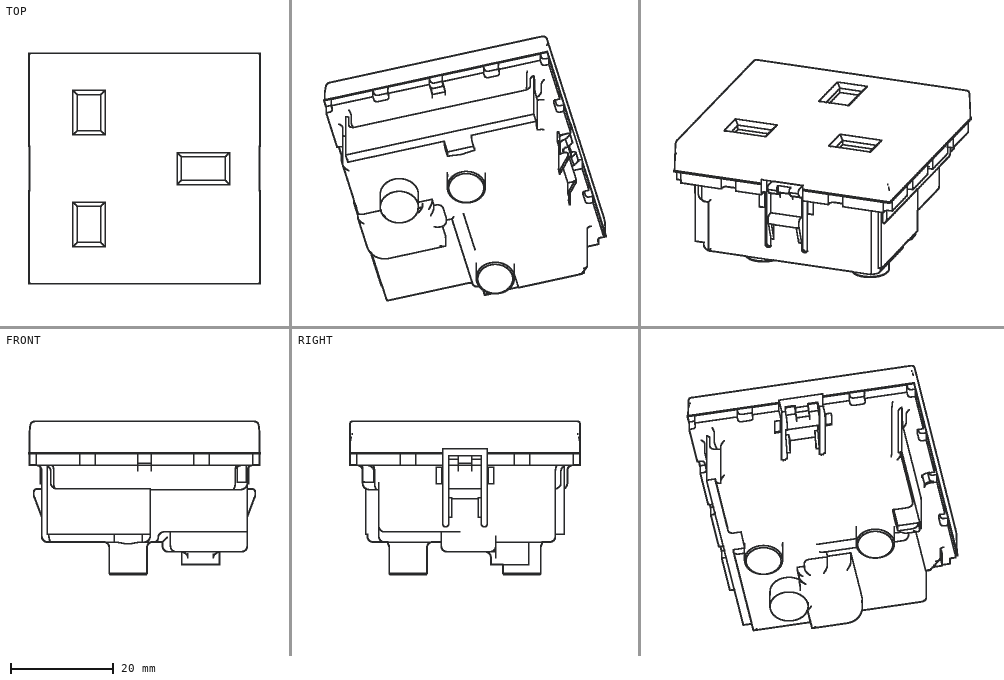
import cadquery as cq


height = 30.0
cover_depth = 6.4
rim_depth = 8.6
neck_depth = 13.35
panel_depth = 22.07
body_depth = 23.6
raised_floor_depth = 21.6
boss_depth = 25.5
terminal_depth = 28.0

outer_x = 45.07
outer_y = 45.05
bead_reach = 0.06
bead_height = 0.25
cover_x = outer_x - 2 * bead_reach
cover_y = outer_y - 2 * bead_reach
side_straight_depth = 2.3
side_taper = 0.25
side_round = 1.0
end_round = 0.6
corner_round_top = 0.6
corner_round_bottom = 0.15

opening_width = 6.25
live_length = 8.7
earth_length = 10.24
live_x = -10.83
live_y = 10.9
earth_x = 11.48
opening_bevel = 0.85
opening_depth = 1.75

notch_depth = 1.37
notch_width = 3.0
notch_inner_round = 0.64
notch_pitch = 11.15
centre_notch_width = 2.6
notch_slope = 0.4

neck_half_x = 20.06
neck_half_y = 20.0
corner_chamfer = 2.35
neck_fillet = 1.05
neck_round = 1.3
bottom_round = 1.15
body_front = 19.07
recess_front = 16.8
body_back = neck_half_y - corner_chamfer
panel_half_x = 18.98
front_panel_end = 1.1
panel_half_y = 19.4
corner_step_y = 16.6
corner_step_round = neck_half_x - panel_half_x
tab_inner = 18.05
tab_outer = 19.9
tab_depth = 11.9

raised_floor_start = 2.65
rise_bend = 1.2
raised_round = 1.1
boss_outer_start = 5.07
boss_inner_start = 3.5
boss_front = -4.65
boss_step_y = 0.0
boss_back = 6.0
boss_inner_back = 4.5
boss_corner = 3.6
pin_x = -3.19
pin_y = 11.1
pin_radius = 3.72
pin_flare = 1.0
pin_tip_round = 0.3
pin_flat_y = 15.05
pin_flat_half = 2.75
terminal_x = 10.95
terminal_y = 8.75
terminal_radius = 3.72
terminal_flare = 1.1

clip_half = 4.35
tongue_half = 3.2
slot_top_depth = 5.4
tongue_top_depth = 6.75
slot_end_depth = 20.6
slot_end_chamfer = 0.35
slot_cut = 0.7
lip_reach = 2.0
lip_round = 0.7
lip_end_depth = rim_depth + neck_fillet
nose_reach = 1.55
nose_top_depth = 13.2
nose_end_depth = 15.15
nose_round = 0.6
cheek_end_depth = 18.7
cheek_width = 0.62
rib_y = 5.07
rib_width = 1.15
rib_reach = 0.25
rib_round = 0.2
rib_top_depth = 8.9
rib_end_depth = 12.2


def level(depth):
    """Z height of a plane at the given depth below the top face."""
    return height - depth


def block(x0, x1, y0, y1, top_depth, end_depth):
    """Axis-aligned box between two depths below the top face."""
    size = (x1 - x0, y1 - y0, end_depth - top_depth)
    return cq.Workplane("XY").box(*size, centered=False).translate((x0, y0, level(end_depth)))


def both_ends(shape):
    """The shape together with its mirror image across the YZ plane."""
    return shape.union(shape.mirror("YZ"))


def rounded_corners():
    """Cover outline whose corner radius grows towards the top."""
    lower = cq.Sketch().rect(cover_x, cover_y).vertices().fillet(corner_round_bottom)
    upper = cq.Sketch().rect(cover_x, cover_y).vertices().fillet(corner_round_top)
    upper = upper.moved(cq.Location(cq.Vector(0, 0, cover_depth)))
    return cq.Workplane("XY", origin=(0, 0, level(cover_depth))).placeSketch(lower, upper).loft(ruled=True)


def make_cover():
    """Cover plate with tapered, rounded X sides and smaller rounds along the Y sides."""
    half = cover_x / 2
    shoulder = half - side_taper
    profile = (
        cq.Workplane("XZ", origin=(0, cover_y / 2, 0))
        .moveTo(-half, level(cover_depth))
        .lineTo(-half, level(side_straight_depth))
        .lineTo(-shoulder, height)
        .lineTo(shoulder, height)
        .lineTo(half, level(side_straight_depth))
        .lineTo(half, level(cover_depth))
        .close()
        .extrude(cover_y)
    )
    profile = profile.faces(">Z").edges("|Y").fillet(side_round)
    profile = profile.faces(">Z").edges("|X").fillet(end_round)
    return profile.intersect(rounded_corners())


def make_opening(x, y, size_x, size_y):
    """Bevelled mouth followed by a straight pocket."""
    pocket_x = size_x - 2 * opening_bevel
    pocket_y = size_y - 2 * opening_bevel
    mouth = (
        cq.Workplane("XY", origin=(x, y, height))
        .rect(size_x, size_y)
        .workplane(offset=-opening_bevel)
        .rect(pocket_x, pocket_y)
        .loft(ruled=True)
    )
    pocket = (
        cq.Workplane("XY", origin=(x, y, height))
        .rect(pocket_x, pocket_y)
        .extrude(-opening_depth)
    )
    return mouth.union(pocket)


def make_notch(x, y, size_x, size_y):
    """Vertical notch through the rim with rounded inner corners."""
    return (
        cq.Workplane("XY", origin=(x, y, level(rim_depth)))
        .rect(size_x, size_y)
        .extrude(rim_depth - cover_depth)
        .edges("|Z")
        .fillet(notch_inner_round)
    )


def cut_rim_notches(part):
    """Notches at the four corners, two per side, and one at the middle of each Y side."""
    half_x = cover_x / 2
    half_y = cover_y / 2
    reach = 2 * notch_depth
    for side in (-1, 1):
        for end in (-1, 1):
            part = part.cut(make_notch(side * half_x, end * half_y, reach, reach))
        for offset in (-notch_pitch, notch_pitch):
            part = part.cut(make_notch(offset, side * half_y, notch_width, reach))
            part = part.cut(make_notch(side * half_x, offset, reach, notch_width))
        part = part.cut(make_notch(0, side * half_y, centre_notch_width, reach))
    return part


def cut_centre_relief(part):
    """Slot at the middle of each Y side, leading from the rim notch down to the neck wall."""
    floor_y = cover_y / 2 - notch_depth
    relief = (
        cq.Workplane("YZ", origin=(-centre_notch_width / 2, 0, 0))
        .moveTo(cover_y / 2, level(rim_depth) + notch_slope)
        .lineTo(floor_y, level(rim_depth) + notch_slope)
        .lineTo(neck_half_y, level(rim_depth))
        .lineTo(neck_half_y, level(rim_depth + neck_fillet))
        .lineTo(cover_y / 2, level(rim_depth + neck_fillet))
        .close()
        .extrude(centre_notch_width)
    )
    return part.cut(relief).cut(relief.mirror("XZ"))


def chamfered_prism(top_depth, end_depth):
    """Neck outline with chamfered vertical corners."""
    outline = block(-neck_half_x, neck_half_x, -neck_half_y, neck_half_y, top_depth, end_depth)
    return outline.edges("|Z").chamfer(corner_chamfer)


def make_neck():
    """Rim plate and neck joined by a concave fillet, with a thin bead where the cover seats."""
    half_x = cover_x / 2
    half_y = cover_y / 2
    bead_x = outer_x / 2
    bead_y = outer_y / 2
    plate = block(-half_x, half_x, -half_y, half_y, cover_depth, rim_depth)
    bead = block(-bead_x, bead_x, -bead_y, bead_y, cover_depth - bead_height, cover_depth)
    neck = chamfered_prism(rim_depth, neck_depth).faces("<Z").edges().fillet(neck_round)
    joined = plate.union(neck)
    near = neck_fillet / 2
    root = cq.selectors.BoxSelector(
        (-half_x + near, -half_y + near, level(rim_depth) - near),
        (half_x - near, half_y - near, level(rim_depth) + near),
    )
    joined = joined.edges(root).edges("#Z").fillet(neck_fillet)
    tab = block(tab_inner, tab_outer, -neck_half_y, -body_back, rim_depth, tab_depth)
    return joined.union(tab).union(bead)


def make_raised_floor():
    """Set-back front right quarter, whose floor rises from the deep floor in an S-bend."""
    drop = body_depth - raised_floor_depth
    lower_bend = drop - rise_bend
    floor = (
        cq.Workplane("XZ", origin=(0, boss_back, 0))
        .moveTo(0, level(rim_depth))
        .lineTo(0, level(body_depth))
        .lineTo(raised_floor_start - lower_bend, level(body_depth))
        .radiusArc((raised_floor_start, level(body_depth - lower_bend)), -lower_bend)
        .radiusArc((raised_floor_start + rise_bend, level(raised_floor_depth)), rise_bend)
        .lineTo(neck_half_x, level(raised_floor_depth))
        .lineTo(neck_half_x, level(rim_depth))
        .close()
        .extrude(boss_back + recess_front)
    )
    lower_edges = floor.faces("<Y").edges("not (>Z or |Z)")
    return lower_edges.fillet(raised_round)


def make_body():
    """Main box: a raised floor at the front right, a deep floor elsewhere, panels on the Y sides."""
    envelope = chamfered_prism(rim_depth, body_depth)
    envelope = envelope.intersect(
        block(-neck_half_x, neck_half_x, -body_front, body_back, rim_depth, body_depth)
    )

    relief = block(front_panel_end, neck_half_x, -body_front, boss_step_y, rim_depth, body_depth)
    recess = block(front_panel_end, neck_half_x, -body_front, -recess_front, neck_depth, body_depth)
    deep = envelope.cut(relief).cut(recess).faces("<Z").edges().fillet(bottom_round)

    corner = (
        cq.Workplane("XY", origin=(0, 0, level(body_depth)))
        .moveTo(-neck_half_x, corner_step_y - corner_step_round)
        .radiusArc((-panel_half_x, corner_step_y), corner_step_round)
        .lineTo(-panel_half_x, neck_half_y)
        .lineTo(-neck_half_x, neck_half_y)
        .close()
        .extrude(body_depth - rim_depth)
    )
    deep = deep.cut(corner)

    front = block(-panel_half_x, front_panel_end, -panel_half_y, -body_back, rim_depth, panel_depth)
    back = block(-panel_half_x, panel_half_x, corner_step_y, panel_half_y, rim_depth, panel_depth)
    return deep.union(make_raised_floor()).union(front).union(back)


def make_boss():
    """Stepped boss under the raised floor, carrying the third terminal."""
    outer = block(boss_outer_start, neck_half_x, boss_front, boss_back, neck_depth, boss_depth)
    outer = outer.edges("|Z and >X and <Y").fillet(boss_corner)
    inner_end = neck_half_x - boss_corner
    inner = block(boss_inner_start, inner_end, boss_step_y, boss_inner_back, neck_depth, boss_depth)
    boss = outer.union(inner)
    boss = boss.edges("|Z and <X").fillet(bottom_round)
    boss = boss.faces("<Z").edges().fillet(bottom_round)
    terminal = (
        cq.Workplane("XY", origin=(terminal_x, terminal_y, level(terminal_depth)))
        .circle(terminal_radius)
        .extrude(terminal_depth - neck_depth)
    )
    flare = (
        cq.Workplane("XZ", origin=(terminal_x, terminal_y, level(boss_depth)))
        .lineTo(0, -terminal_flare)
        .lineTo(terminal_radius, -terminal_flare)
        .radiusArc((terminal_radius + terminal_flare, 0), terminal_flare)
        .lineTo(terminal_radius + terminal_flare, bottom_round)
        .lineTo(0, bottom_round)
        .close()
        .revolve(360, (0, 0, 0), (0, 1, 0))
    )
    flare = flare.intersect(
        block(boss_outer_start, neck_half_x, boss_front, boss_back, raised_floor_depth, terminal_depth)
    )
    return boss.union(terminal).union(flare)


def make_pin():
    """Round pin about the Z axis, flared where it leaves the floor."""
    floor = level(body_depth)
    outer_radius = pin_radius + pin_flare
    return (
        cq.Workplane("XZ")
        .moveTo(0, 0)
        .lineTo(pin_radius - pin_tip_round, 0)
        .lineTo(pin_radius, pin_tip_round)
        .lineTo(pin_radius, floor - pin_flare)
        .radiusArc((outer_radius, floor), pin_flare)
        .lineTo(outer_radius, floor + pin_flare)
        .lineTo(0, floor + pin_flare)
        .close()
        .revolve(360, (0, 0, 0), (0, 1, 0))
    )


def add_pins(part):
    """Two pins, each with a flat cut through the floor edge beside it."""
    for side in (-1, 1):
        part = part.union(make_pin().translate((pin_x, side * pin_y, 0)))
        flat = block(
            pin_x - pin_flat_half, pin_x + pin_flat_half, pin_flat_y, neck_half_y, panel_depth, terminal_depth
        )
        part = part.cut(flat if side > 0 else flat.mirror("XZ"))
    return part


def make_clip_window():
    """Recess around the snap tongue on the -X side, running down into two narrow slots."""
    rim_x = -outer_x / 2
    slot_floor = -neck_half_x + slot_cut
    slot_top = block(rim_x, slot_floor, -clip_half, clip_half, slot_top_depth, tongue_top_depth)
    slot = block(rim_x, slot_floor, tongue_half, clip_half, slot_top_depth, slot_end_depth)
    slot = slot.faces("<Z").edges("|X").chamfer(slot_end_chamfer)
    rim_gap = block(rim_x, -neck_half_x, -clip_half, clip_half, slot_top_depth, lip_end_depth)
    return slot_top.union(slot).union(slot.mirror("XZ")).union(rim_gap)


def make_clip():
    """Snap tongue details on the -X side: split lip and web, nose, two cheeks and two guide ribs."""
    wall = -neck_half_x
    inside = wall + slot_cut
    lip_x = wall - lip_reach
    lip_width = tongue_half - centre_notch_width / 2
    lip = (
        cq.Workplane("XZ", origin=(0, tongue_half, 0))
        .moveTo(inside, level(tongue_top_depth))
        .lineTo(lip_x + lip_round, level(tongue_top_depth))
        .radiusArc((lip_x, level(tongue_top_depth + lip_round)), -lip_round)
        .lineTo(wall - neck_fillet, level(lip_end_depth - neck_fillet))
        .radiusArc((wall, level(lip_end_depth)), neck_fillet)
        .lineTo(inside, level(lip_end_depth))
        .close()
        .extrude(lip_width)
    )
    web_x = -cover_x / 2 + notch_depth
    web = (
        cq.Workplane("XZ", origin=(0, centre_notch_width / 2, 0))
        .moveTo(inside, level(tongue_top_depth))
        .lineTo(web_x, level(tongue_top_depth))
        .lineTo(web_x, level(rim_depth - notch_slope))
        .lineTo(wall, level(rim_depth))
        .lineTo(inside, level(rim_depth))
        .close()
        .extrude(centre_notch_width)
    )
    nose_x = wall - nose_reach
    nose = block(nose_x, inside, -tongue_half, tongue_half, nose_top_depth, nose_end_depth)
    nose = nose.edges("|Y and <X").fillet(nose_round)
    cheek = (
        cq.Workplane("XZ", origin=(0, tongue_half, 0))
        .moveTo(inside, level(nose_top_depth + nose_round))
        .lineTo(nose_x, level(nose_top_depth + nose_round))
        .lineTo(nose_x, level(nose_end_depth - nose_round))
        .lineTo(wall, level(cheek_end_depth))
        .lineTo(inside, level(cheek_end_depth))
        .close()
        .extrude(cheek_width)
    )
    rib = block(
        wall - rib_reach, inside, rib_y - rib_width / 2, rib_y + rib_width / 2, rib_top_depth, rib_end_depth
    )
    rib = rib.edges("|Z and <X").fillet(rib_round)
    half_clip = lip.union(cheek).union(rib)
    return half_clip.union(half_clip.mirror("XZ")).union(web).union(nose)


part = make_cover().union(make_neck())
part = cut_centre_relief(cut_rim_notches(part))
part = part.union(make_body()).union(make_boss())
part = add_pins(part)
for y in (-live_y, live_y):
    part = part.cut(make_opening(live_x, y, opening_width, live_length))
part = part.cut(make_opening(earth_x, 0, earth_length, opening_width))
part = part.cut(both_ends(make_clip_window())).union(both_ends(make_clip()))

result = part